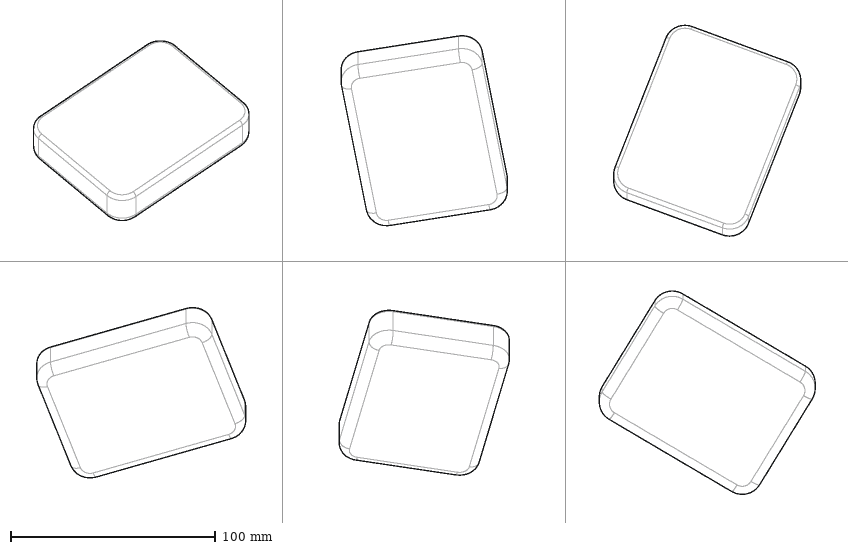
import cadquery as cq

width = 70.0
length = 90.0
height = 20.0

corner_radius = 10.0
top_edge_radius = 2.0
bottom_edge_radius = 5.0


def rounded_block():
    """Plain block with rounded vertical corners, resting on Z = 0."""
    block = cq.Workplane("XY").box(width, length, height, centered=(True, True, False))
    return block.edges("|Z").fillet(corner_radius)


body = rounded_block()
body = body.faces(">Z").edges().fillet(top_edge_radius)
result = body.faces("<Z").edges().fillet(bottom_edge_radius)